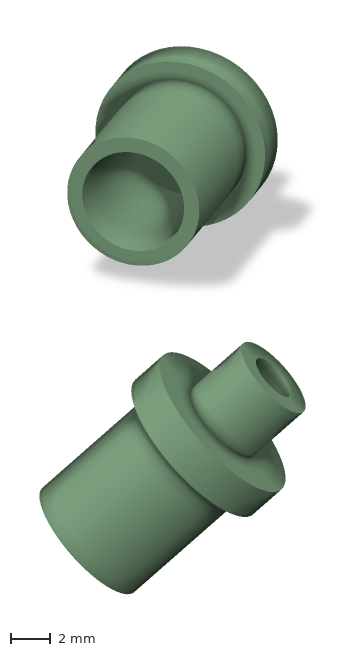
import cadquery as cq

total_length = 13.1
spigot_length = 3.6
flange_thickness = 2.0
barrel_length = total_length - spigot_length - flange_thickness

flange_diameter = 9.0
barrel_diameter = 7.0
spigot_diameter = 4.6
socket_diameter = 5.4
through_hole_diameter = 2.5

socket_depth = barrel_length


def cylinder_along_y(diameter, start_y, length):
    """Cylinder on the Y axis, running from start_y toward +Y."""
    return cq.Workplane("XZ", origin=(0, start_y, 0)).circle(diameter / 2).extrude(-length)


barrel = cylinder_along_y(barrel_diameter, 0, barrel_length)
flange = cylinder_along_y(flange_diameter, barrel_length, flange_thickness)
spigot = cylinder_along_y(spigot_diameter, barrel_length + flange_thickness, spigot_length)
body = barrel.union(flange).union(spigot)

socket = cylinder_along_y(socket_diameter, 0, socket_depth)
through_hole = cylinder_along_y(through_hole_diameter, 0, total_length)

result = body.cut(socket).cut(through_hole)